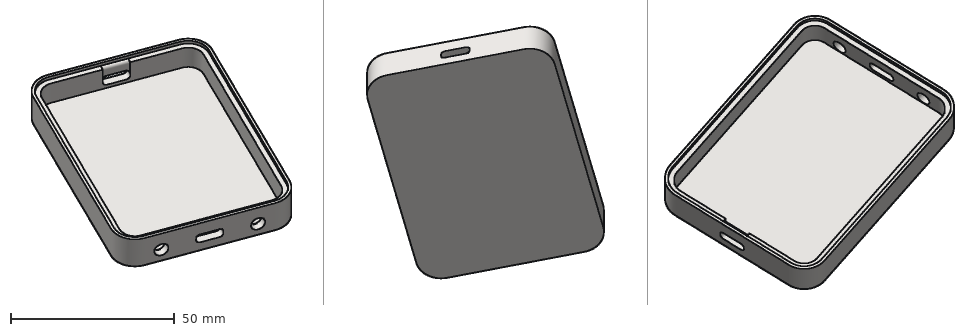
import cadquery as cq

length = 79.67
width = 58.67
height = 11.2
corner_radius = 7.835

rim_thickness = 1.0
wall_thickness = 2.8
inner_corner_radius = corner_radius - wall_thickness
lid_step_depth = 1.2
lid_seat_z = height - lid_step_depth
floor_thickness = 2.0

slot_width = 9.0
slot_height = 3.25
slot_corner_radius = 1.35
slot_center_z = 4.95

recess_depth = 0.4
recess_lip_radius = 1.0

round_hole_diameter = 4.6
round_hole_spacing = 31.75
round_hole_center_z = 4.55


def rounded_block(inset, radius, bottom, top):
    """Upright block inset from the outer outline, with rounded vertical edges."""
    return (
        cq.Workplane("XY")
        .workplane(offset=bottom)
        .rect(length - 2 * inset, width - 2 * inset)
        .extrude(top - bottom)
        .edges("|Z")
        .fillet(radius)
    )


def tray():
    """Open tray with a stepped rim that seats a lid."""
    body = rounded_block(0, corner_radius, 0, height)
    cavity = rounded_block(wall_thickness, inner_corner_radius, floor_thickness, height)
    lid_recess = rounded_block(rim_thickness, corner_radius - rim_thickness, lid_seat_z, height)
    return body.cut(cavity).cut(lid_recess)


def connector_slots():
    """Rounded bar along X that opens a slot in both end walls."""
    return (
        cq.Workplane("XY")
        .box(length, slot_width, slot_height)
        .edges("|X")
        .fillet(slot_corner_radius)
        .translate((0, 0, slot_center_z))
    )


def connector_recess():
    """Shallow recess in the inner face of the -X wall, from mid-slot up to a rounded lip."""
    inner_face_x = -length / 2 + wall_thickness
    recess_face_x = inner_face_x - recess_depth
    return (
        cq.Workplane("XZ")
        .workplane(offset=-slot_width / 2)
        .moveTo(inner_face_x, slot_center_z)
        .lineTo(recess_face_x, slot_center_z)
        .lineTo(recess_face_x, lid_seat_z - recess_lip_radius)
        .radiusArc((recess_face_x - recess_lip_radius, lid_seat_z), -recess_lip_radius)
        .lineTo(inner_face_x, lid_seat_z)
        .close()
        .extrude(slot_width)
    )


def round_holes():
    """Pair of round holes through the +X wall."""
    offset = round_hole_spacing / 2
    centers = [(-offset, round_hole_center_z), (offset, round_hole_center_z)]
    return (
        cq.Workplane("YZ")
        .workplane(offset=length / 2 - wall_thickness)
        .pushPoints(centers)
        .circle(round_hole_diameter / 2)
        .extrude(wall_thickness)
    )


result = tray().cut(connector_slots()).cut(connector_recess()).cut(round_holes())